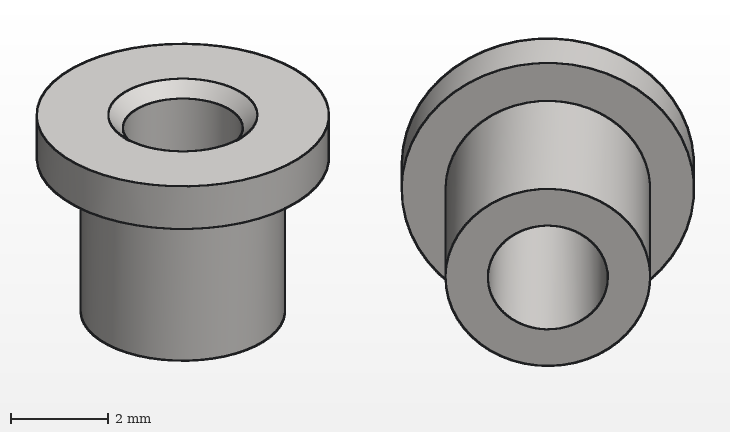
import cadquery as cq

flange_diameter = 6.0
flange_thickness = 1.0
body_diameter = 4.2
total_height = 4.6
bore_diameter = 2.46
bore_chamfer = 0.3
chamfer_cone_angle = 90

body_height = total_height - flange_thickness
mouth_diameter = bore_diameter + 2 * bore_chamfer


def make_flanged_body():
    """Round body standing on Z = 0 with a wider flange on top."""
    body = cq.Workplane("XY").circle(body_diameter / 2).extrude(body_height)
    return body.faces(">Z").workplane().circle(flange_diameter / 2).extrude(flange_thickness)


def cut_bore(part):
    """Through bore with a 45 degree lead-in at the flange face."""
    top_face = part.faces(">Z").workplane()
    return top_face.cskHole(bore_diameter, mouth_diameter, chamfer_cone_angle)


result = cut_bore(make_flanged_body())